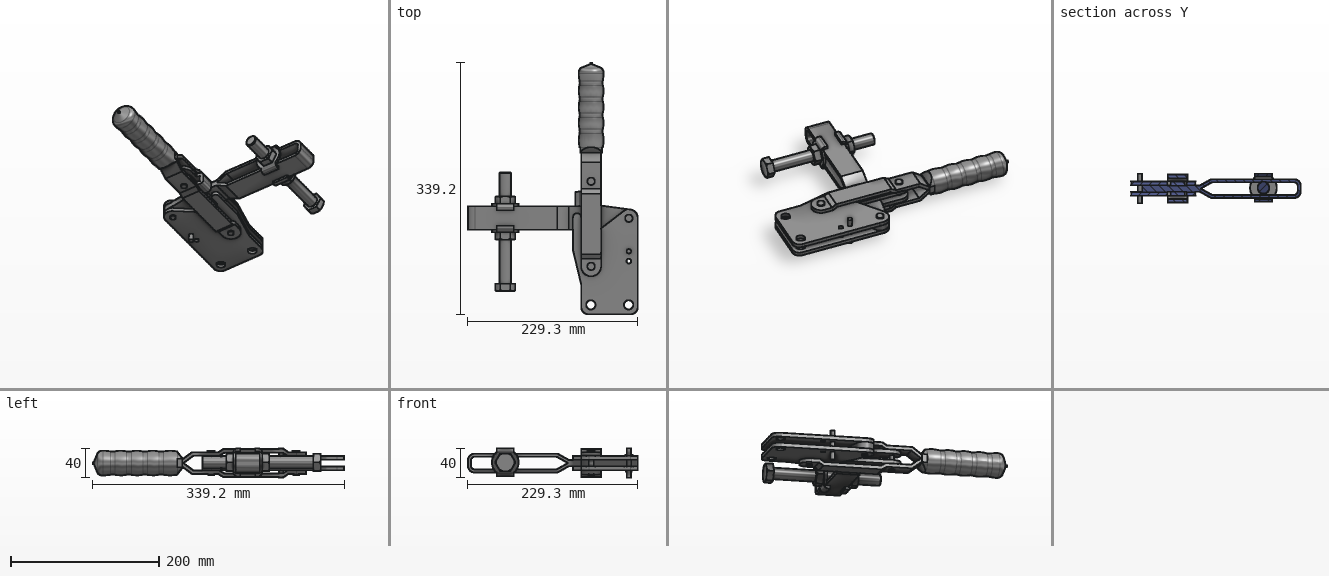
import cadquery as cq
import math


LENGTH_Y = 339.2
END_Y = LENGTH_Y / 2
WIDTH_X = 229.3
EDGE_X = WIDTH_X / 2

STRIP = 4.5
PLATE = 5.5
HANDLE_STRIP = 5.0
PLATE_IN_Z = STRIP
PLATE_OUT_Z = PLATE_IN_Z + PLATE

RIVET_D = 6.5
RIVET_HEAD_D = 10.2
RIVET_TAIL_D = 8.0
RIVET_RISE = 1.7

HANDLE_X = 51.5
HANDLE_RIVET_Y = -104.8
LINK_TOP_Y = 10.0
LINK_LOW_Y = -46.8
ARM_PIVOT = (102.5, -40.0)

BASE_LEFT_X = 38.0
BASE_CORNER_R = 10.2
BUMP_X = 27.0
BUMP_R = 5.5
BUMP_Y = -38.5
SLANT_TOP_Y = -83.5
SLANT_LOW_Y = -129.0
NOTCH_R = 13.5
NOTCH_RISE = 38.0
PIVOT_R = EDGE_X - ARM_PIVOT[0]
PIVOT_ARC_START = 117.0
BOLT_HOLE_D = 12.2
BOLT_HOLE_Y = -156.7
BOLT_HOLES_X = (51.2, 102.0)
PIN_D = 6.0
PIN_HALF = 20.0
PIN_Y = -84.5
PIN_HOLE_Y = -97.7

ARM_TOP_Y = -23.7
ARM_LOW_Y = -55.5
ARM_OUT_Z = 13.0
ARM_END_R = 9.5
ARM_LOBE_R = 13.5
ARM_LOBE_Y = -53.3
ARM_BEND_X = 6.0
ARM_PINCH_X = 21.5
TAIL_STEP_X = 44.0
TAIL_SHOULDER_Y = -20.0

SPINDLE_X = -64.0
SPINDLE_Z = 1.0
SPINDLE_D = 16.0
SPINDLE_TOP_Y = 21.7
SPINDLE_CHAMFER = 1.0
HEAD_TOP_Y = -128.2
HEX_CORNERS = 27.5
HEX_HEIGHT = 10.0
HEX_CHAMFER = 1.5
WASHER_D = 36.3
WASHER = 3.5
TAB_WIDTH = 23.5
TAB_REACH = 9.0
TAB_OUT = 19.0
TAB = 3.7
TAB_BEND_R = 5.5

HANDLE_WIDTH = 26.8
HANDLE_FLAT_Z = PLATE_OUT_Z + HANDLE_STRIP
HANDLE_BULGE_Z = 19.0
BULGE_LOW_Y = (-94.3, -88.2)
BULGE_TOP_Y = (-6.8, 0.0)
PINCH_START_Y = 35.3
GRIP_LOW_Y = 48.5
GRIP_NECK_Y = 55.5
GRIP_NECK_WIDTH = 30.0
GRIP_NECK_LOW_Z = 6.5
GRIP_NECK_TOP_Z = 15.5
GRIP_R = 17.0
GRIP_EDGE_R = 16.0
GROOVE_R = 15.5
GROOVE_HALF = 3.0
GROOVES = 4
GROOVE_FIRST_Y = 77.5
GROOVE_PITCH = 21.7
DOME_START_Y = 155.7
DOME_MID = (16.0, 160.0)
DOME_END = (13.0, 163.0)
CROWN_Y = 168.0
NUB_R = 1.5

LINK_R = 12.0
LUG_X = 30.0
LUG_OUTER_Y = -4.7
LUG_INNER_Y = -3.0


def bent_strip(path, thickness):
    """Closed outline of a sheet of even thickness lying to the right of a bent path."""
    inner = []
    for i, (x, y) in enumerate(path):
        before = path[max(i - 1, 0)]
        after = path[min(i + 1, len(path) - 1)]
        turn_in = math.atan2(y - before[1], x - before[0])
        turn_out = math.atan2(after[1] - y, after[0] - x)
        if i == 0:
            turn_in = turn_out
        if i == len(path) - 1:
            turn_out = turn_in
        middle = (turn_in + turn_out) / 2
        reach = thickness / math.cos((turn_out - turn_in) / 2)
        inner.append((x + reach * math.sin(middle), y - reach * math.cos(middle)))
    return list(path) + inner[::-1]


def slab(outline, z_low, z_high):
    """Extrude a sketch drawn on XY between two heights."""
    return outline.extrude(z_high - z_low).translate((0, 0, z_low))


def upright(x, y, diameter, z_low, z_high):
    """Cylinder along Z."""
    return slab(cq.Workplane("XY").center(x, y).circle(diameter / 2), z_low, z_high)


def slot_outline(radius, low_y, top_y):
    """Slot shape along Y on the handle centre plane, with its end arcs about the two heights."""
    return (
        cq.Workplane("XY")
        .center(HANDLE_X, (low_y + top_y) / 2)
        .slot2D(top_y - low_y + 2 * radius, 2 * radius, 90)
    )


def rivet(x, y, sheet_z):
    """Rivet through sheets that reach sheet_z on both sides, wider at both ends."""
    shank = upright(x, y, RIVET_D, -sheet_z, sheet_z)
    head = upright(x, y, RIVET_HEAD_D, sheet_z, sheet_z + RIVET_RISE)
    tail = upright(x, y, RIVET_TAIL_D, -sheet_z - RIVET_RISE, -sheet_z)
    return shank.union(head).union(tail)


def both_sides(shape):
    """The shape together with its mirror image below Z = 0."""
    return shape.union(shape.mirror("XY"))


def make_base():
    """Two equal side plates joined by the arm pivot, the handle pivot and a stop pin."""
    rise = math.radians(NOTCH_RISE)
    arc_start = math.radians(PIVOT_ARC_START)
    arc_mid = arc_start / 2
    pivot_x, pivot_y = ARM_PIVOT
    outline = (
        cq.Workplane("XY")
        .moveTo(BASE_LEFT_X, -END_Y)
        .lineTo(BASE_LEFT_X, SLANT_LOW_Y)
        .lineTo(BUMP_X, SLANT_TOP_Y)
        .lineTo(BUMP_X, BUMP_Y)
        .threePointArc((BUMP_X + BUMP_R, BUMP_Y + BUMP_R), (BUMP_X + 2 * BUMP_R, BUMP_Y))
        .lineTo(HANDLE_X - NOTCH_R, LINK_LOW_Y)
        .threePointArc(
            (HANDLE_X, LINK_LOW_Y - NOTCH_R),
            (HANDLE_X + NOTCH_R * math.sin(rise), LINK_LOW_Y - NOTCH_R * math.cos(rise)),
        )
        .lineTo(pivot_x + PIVOT_R * math.cos(arc_start), pivot_y + PIVOT_R * math.sin(arc_start))
        .threePointArc(
            (pivot_x + PIVOT_R * math.cos(arc_mid), pivot_y + PIVOT_R * math.sin(arc_mid)),
            (EDGE_X, pivot_y),
        )
        .lineTo(EDGE_X, -END_Y)
        .close()
    )
    plate = slab(outline, PLATE_IN_Z, PLATE_OUT_Z)
    plate = plate.edges("|Z").edges("<Y").fillet(BASE_CORNER_R)
    for x in BOLT_HOLES_X:
        plate = plate.cut(upright(x, BOLT_HOLE_Y, BOLT_HOLE_D, PLATE_IN_Z, PLATE_OUT_Z))
    plate = plate.cut(upright(pivot_x, PIN_HOLE_Y, PIN_D, PLATE_IN_Z, PLATE_OUT_Z))
    return (
        both_sides(plate)
        .union(rivet(pivot_x, pivot_y, PLATE_OUT_Z))
        .union(rivet(HANDLE_X, HANDLE_RIVET_Y, HANDLE_FLAT_Z))
        .union(upright(pivot_x, PIN_Y, PIN_D, -PIN_HALF, PIN_HALF))
    )


def make_arm():
    """U-shaped loop of strip whose two legs pinch together into a flat tail between the plates."""
    pivot_x, pivot_y = ARM_PIVOT
    loop_path = [
        (-EDGE_X, 0),
        (-EDGE_X, ARM_OUT_Z),
        (ARM_BEND_X, ARM_OUT_Z),
        (ARM_PINCH_X, STRIP),
        (TAIL_STEP_X, STRIP),
    ]
    loop = cq.Workplane("XZ").polyline(bent_strip(loop_path, STRIP)).close().extrude(ARM_TOP_Y - ARM_LOW_Y)
    loop = both_sides(loop.translate((0, ARM_TOP_Y, 0))).clean()
    loop = loop.edges("|Y").edges("<X").fillet(ARM_END_R)
    for z in (ARM_OUT_Z - STRIP, STRIP - ARM_OUT_Z):
        inner_corner = (STRIP - EDGE_X, (ARM_TOP_Y + ARM_LOW_Y) / 2, z)
        corner = cq.selectors.NearestToPointSelector(inner_corner)
        loop = loop.edges("|Y").edges(corner).fillet(ARM_END_R - STRIP)

    across = pivot_x - HANDLE_X
    along = pivot_y - ARM_LOBE_Y
    radius_drop = (ARM_LOBE_R - PIVOT_R) / math.hypot(across, along)
    slope = math.atan2(along, across) + math.asin(radius_drop)
    down_x, down_y = math.sin(slope), -math.cos(slope)
    tail_outline = (
        cq.Workplane("XY")
        .moveTo(HANDLE_X - ARM_LOBE_R, ARM_LOBE_Y)
        .lineTo(TAIL_STEP_X, ARM_TOP_Y)
        .lineTo(TAIL_STEP_X, TAIL_SHOULDER_Y)
        .lineTo(pivot_x, pivot_y + PIVOT_R)
        .threePointArc((EDGE_X, pivot_y), (pivot_x + PIVOT_R * down_x, pivot_y + PIVOT_R * down_y))
        .lineTo(HANDLE_X + ARM_LOBE_R * down_x, ARM_LOBE_Y + ARM_LOBE_R * down_y)
        .threePointArc((HANDLE_X, ARM_LOBE_Y - ARM_LOBE_R), (HANDLE_X - ARM_LOBE_R, ARM_LOBE_Y))
        .close()
    )
    arm = loop.union(slab(tail_outline, -STRIP, STRIP))
    for x, y in (ARM_PIVOT, (HANDLE_X, LINK_LOW_Y)):
        arm = arm.cut(upright(x, y, RIVET_D, -STRIP, STRIP))
    return arm.cut(spindle_cylinder(SPINDLE_D, ARM_LOW_Y, ARM_TOP_Y))


def spindle_cylinder(diameter, low_y, top_y):
    """Cylinder on the spindle axis."""
    rod = cq.Workplane("XZ").center(SPINDLE_X, SPINDLE_Z).circle(diameter / 2).extrude(low_y - top_y)
    return rod.translate((0, low_y, 0))


def hexagon(low_y, chamfered_end):
    """Hexagon on the spindle axis with its corners cut back at the end "<Y" or ">Y"."""
    prism = cq.Workplane("XZ").center(SPINDLE_X, SPINDLE_Z).polygon(6, HEX_CORNERS).extrude(-HEX_HEIGHT)
    cone = spindle_cylinder(HEX_CORNERS, low_y, low_y + HEX_HEIGHT)
    cone = cone.faces(chamfered_end).chamfer(HEX_CHAMFER)
    return prism.translate((0, low_y, 0)).intersect(cone)


def tabbed_washer(outer_y, toward_arm):
    """Washer with two tabs that bend over the arm; toward_arm is the Y direction to the arm."""
    inner_y = outer_y + toward_arm * WASHER
    washer = spindle_cylinder(WASHER_D, min(outer_y, inner_y), max(outer_y, inner_y))
    tip_y = outer_y + toward_arm * TAB_REACH
    bend_end_y = outer_y + toward_arm * TAB_BEND_R
    diagonal = TAB_BEND_R * (1 - math.sqrt(0.5))
    tab = (
        cq.Workplane("YZ")
        .moveTo(outer_y, 0)
        .lineTo(outer_y, TAB_OUT - TAB_BEND_R)
        .threePointArc((outer_y + toward_arm * diagonal, TAB_OUT - diagonal), (bend_end_y, TAB_OUT))
        .lineTo(tip_y, TAB_OUT)
        .lineTo(tip_y, TAB_OUT - TAB)
        .lineTo(inner_y, TAB_OUT - TAB)
        .lineTo(inner_y, 0)
        .close()
        .extrude(TAB_WIDTH / 2, both=True)
    )
    flat = cq.Workplane("XY").box(TAB_WIDTH, 2 * WASHER, WASHER_D, centered=(True, True, False))
    flats = both_sides(flat.translate((0, outer_y, TAB_OUT - TAB_BEND_R)))
    washer = washer.cut(flats.translate((SPINDLE_X, 0, SPINDLE_Z)))
    return washer.union(both_sides(tab).translate((SPINDLE_X, 0, SPINDLE_Z)))


def make_spindle():
    """Hex-headed bolt with a nut and a tabbed washer clamping the arm from each side."""
    low_washer_y = ARM_LOW_Y - WASHER
    top_washer_y = ARM_TOP_Y + WASHER
    bolt = spindle_cylinder(SPINDLE_D, HEAD_TOP_Y, SPINDLE_TOP_Y).faces(">Y").chamfer(SPINDLE_CHAMFER)
    return (
        bolt.union(hexagon(HEAD_TOP_Y - HEX_HEIGHT, "<Y"))
        .union(hexagon(low_washer_y - HEX_HEIGHT, "<Y"))
        .union(hexagon(top_washer_y, ">Y"))
        .union(tabbed_washer(low_washer_y, 1))
        .union(tabbed_washer(top_washer_y, -1))
    )


def make_handle_strips():
    """Pair of cranked strips that straddle the plates and pinch together into the grip."""
    low_y = HANDLE_RIVET_Y - HANDLE_WIDTH / 2
    path = [
        (low_y, HANDLE_FLAT_Z),
        (BULGE_LOW_Y[0], HANDLE_FLAT_Z),
        (BULGE_LOW_Y[1], HANDLE_BULGE_Z),
        (BULGE_TOP_Y[0], HANDLE_BULGE_Z),
        (BULGE_TOP_Y[1], HANDLE_FLAT_Z),
        (PINCH_START_Y, HANDLE_FLAT_Z),
        (GRIP_LOW_Y, HANDLE_STRIP),
        (GRIP_NECK_Y, HANDLE_STRIP),
    ]
    strip = cq.Workplane("YZ").polyline(bent_strip(path, HANDLE_STRIP)).close()
    strip = strip.extrude(HANDLE_WIDTH / 2, both=True).translate((HANDLE_X, 0, 0))
    rounded = slot_outline(HANDLE_WIDTH / 2, HANDLE_RIVET_Y, GRIP_NECK_Y)
    strip = strip.intersect(slab(rounded, 0, HANDLE_BULGE_Z))
    strip = strip.cut(upright(HANDLE_X, HANDLE_RIVET_Y, RIVET_D, 0, HANDLE_BULGE_Z))
    return both_sides(strip)


def make_grip():
    """Turned grip with ring grooves between bulges, a domed end and a neck flattened to the strips."""
    profile = cq.Workplane("XY").moveTo(0, GRIP_NECK_Y).lineTo(GRIP_EDGE_R, GRIP_NECK_Y)
    bulge_start = GRIP_NECK_Y
    for i in range(GROOVES):
        groove_y = GROOVE_FIRST_Y + i * GROOVE_PITCH
        bulge_end = groove_y - GROOVE_HALF
        bulge_mid = (bulge_start + bulge_end) / 2
        bulge_start = groove_y + GROOVE_HALF
        profile = profile.threePointArc((GRIP_R, bulge_mid), (GRIP_EDGE_R, bulge_end))
        profile = profile.threePointArc((GROOVE_R, groove_y), (GRIP_EDGE_R, bulge_start))
    profile = (
        profile.spline([(GRIP_R, DOME_START_Y)], tangents=[(0.2, 1), (0, 1)], includeCurrent=True)
        .threePointArc(DOME_MID, DOME_END)
        .lineTo(NUB_R, CROWN_Y)
        .lineTo(NUB_R, END_Y)
        .lineTo(0, END_Y)
        .close()
    )
    grip = profile.revolve(360, (0, 0, 0), (0, 1, 0))

    neck_outline = [
        (GRIP_LOW_Y, -GRIP_NECK_LOW_Z),
        (GRIP_NECK_Y, -GRIP_NECK_TOP_Z),
        (GRIP_NECK_Y, GRIP_NECK_TOP_Z),
        (GRIP_LOW_Y, GRIP_NECK_LOW_Z),
    ]
    neck = cq.Workplane("YZ").polyline(neck_outline).close().extrude(GRIP_NECK_WIDTH / 2, both=True)
    round_stock = cq.Workplane("XZ").circle(GRIP_EDGE_R).extrude(-GRIP_NECK_Y)
    return grip.union(neck.intersect(round_stock)).translate((HANDLE_X, 0, 0))


def make_link():
    """Channel-shaped link: two plates astride the arm tail, joined by a lug that rests on the arm."""
    link_left_x = HANDLE_X - LINK_R
    plates = slab(slot_outline(LINK_R, LINK_LOW_Y, LINK_TOP_Y), -PLATE_OUT_Z, PLATE_OUT_Z)
    lug_outline = [
        (LUG_X, ARM_TOP_Y),
        (LUG_X, LUG_OUTER_Y),
        (link_left_x, LUG_INNER_Y),
        (HANDLE_X, LUG_INNER_Y),
        (HANDLE_X, ARM_TOP_Y),
    ]
    lug = slab(cq.Workplane("XY").polyline(lug_outline).close(), -PLATE_OUT_Z, PLATE_OUT_Z)
    lug = lug.edges("|Y").edges("<X").fillet(PLATE)
    hollow_length = 2 * (LINK_TOP_Y - LINK_LOW_Y + 2 * LINK_R)
    hollow = cq.Workplane("XY").box(EDGE_X, hollow_length, 2 * PLATE_IN_Z, centered=(False, True, True))
    link = plates.union(lug).cut(hollow.translate((LUG_X + PLATE, 0, 0)))
    return link.union(upright(HANDLE_X, LINK_LOW_Y, RIVET_D, -PLATE_OUT_Z, PLATE_OUT_Z))


def make_handle():
    """Handle strips and grip, with the link held by the upper rivet."""
    return (
        make_handle_strips()
        .union(make_grip())
        .union(make_link())
        .union(rivet(HANDLE_X, LINK_TOP_Y, HANDLE_FLAT_Z))
    )


base = make_base()
arm = make_arm()
spindle = make_spindle()
handle = make_handle()
result = cq.Compound.makeCompound([base.val(), arm.val(), spindle.val(), handle.val()])